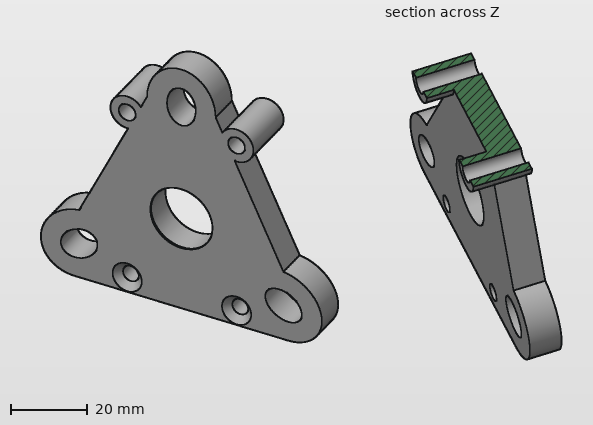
import cadquery as cq
import math

plate_thickness = 8.9
overall_width = 83.4
lobe_angles = (90, 210, 330)
lobe_long_radius = 11.8
lobe_short_radius = 10.2
lobe_tilt = math.radians(30)
lobe_reach_x = math.hypot(lobe_long_radius * math.cos(lobe_tilt), lobe_short_radius * math.sin(lobe_tilt))
lobe_distance = (overall_width / 2 - lobe_reach_x) / math.cos(lobe_tilt)
slot_long_radius = 5.75
slot_short_radius = 4.25
side_bottom_x = 30.3
side_bottom_z = -6.9

lip_diameter = 18.4
bore_diameter = 19.0
lip_thickness = 0.5

screw_spacing = 32.45
screw_offset_x = 0.2
standoff_z = 28.2
standoff_diameter = 10.0
standoff_length = 16.5
standoff_hole_diameter = 5.0
screw_z = -23.5
screw_hole_diameter = 4.7
screw_head_diameter = 8.7
screw_head_depth = (screw_head_diameter - screw_hole_diameter) / 2


def front_plane(y=0):
    """XZ workplane at depth y; a negative extrusion runs toward +Y."""
    return cq.Workplane("XZ", origin=(0, y, 0))


def lobe_centre(angle):
    return (
        lobe_distance * math.cos(math.radians(angle)),
        lobe_distance * math.sin(math.radians(angle)),
    )


def radial_ellipse(angle, long_radius, short_radius):
    """Elliptical prism through the plate, long axis pointing away from the bore."""
    return (
        front_plane()
        .center(*lobe_centre(angle))
        .ellipse(long_radius, short_radius, rotation_angle=angle)
        .extrude(-plate_thickness)
    )


def cylinders(points, diameter, depth, y=0):
    return front_plane(y).pushPoints(points).circle(diameter / 2).extrude(-depth)


def plate_body():
    lower_x, lower_z = lobe_centre(330)
    sine = math.sin(lobe_tilt)
    cosine = math.cos(lobe_tilt)
    drop = math.hypot(lobe_long_radius * sine, lobe_short_radius * cosine)
    tangent_shift = (lobe_long_radius**2 - lobe_short_radius**2) * sine * cosine / drop
    right_side = [
        (lower_x + tangent_shift, lower_z - drop),
        (lower_x, lower_z),
        (side_bottom_x, side_bottom_z),
        (lobe_short_radius, lobe_distance),
    ]
    left_side = [(-x, z) for x, z in reversed(right_side)]
    body = front_plane().polyline(right_side + left_side).close().extrude(-plate_thickness)
    for angle in lobe_angles:
        body = body.union(radial_ellipse(angle, lobe_long_radius, lobe_short_radius))
    return body


def countersink(x, z):
    return cq.Workplane(
        cq.Solid.makeCone(
            screw_head_diameter / 2,
            screw_hole_diameter / 2,
            screw_head_depth,
            cq.Vector(x, 0, z),
            cq.Vector(0, 1, 0),
        )
    )


hole_xs = [screw_offset_x - screw_spacing / 2, screw_offset_x + screw_spacing / 2]
standoff_points = [(x, standoff_z) for x in hole_xs]
screw_points = [(x, screw_z) for x in hole_xs]

result = plate_body()
result = result.union(cylinders(standoff_points, standoff_diameter, standoff_length))

for lobe_angle in lobe_angles:
    result = result.cut(radial_ellipse(lobe_angle, slot_long_radius, slot_short_radius))

result = result.cut(cylinders([(0, 0)], lip_diameter, plate_thickness))
bore_depth = plate_thickness - lip_thickness
result = result.cut(cylinders([(0, 0)], bore_diameter, bore_depth, lip_thickness))

result = result.cut(cylinders(standoff_points, standoff_hole_diameter, standoff_length))
result = result.cut(cylinders(screw_points, screw_hole_diameter, plate_thickness))
for screw_point in screw_points:
    result = result.cut(countersink(*screw_point))